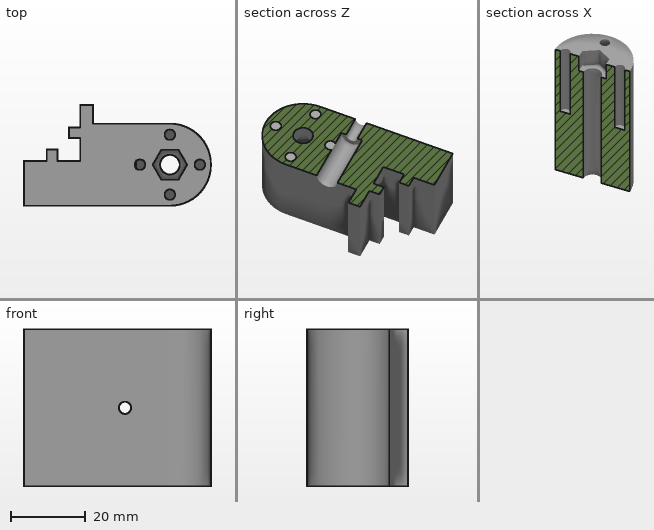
import cadquery as cq

length = 50.0
height = 42.0
body_width = 22.0
nose_radius = body_width / 2
nose_x = length - nose_radius
nose_y = nose_radius

step_x = 15.0
ledge_width = 12.0
ledge_rib_start = 6.1
ledge_rib_end = 9.0
ledge_rib_top = 15.1
side_rib_x = 12.0
side_rib_bottom = 18.1
side_rib_top = 21.0
tab_end_x = 18.5
tab_top = 27.0

bore_diameter = 5.2
hex_across_corners = 9.2
hex_depth = 5.0

ring_radius = 8.0
ring_hole_diameter = 2.8
ring_hole_depth = height / 2
ring_hole_count = 4

cross_hole_diameter = 3.2
counterbore_diameter = 6.0
counterbore_depth = 16.0
cross_hole_x = 27.0
cross_hole_z = height / 2


def make_body():
    """Extrude the stepped, round-nosed outline along Z."""
    return (
        cq.Workplane("XY")
        .moveTo(0, 0)
        .lineTo(nose_x, 0)
        .threePointArc((length, nose_y), (nose_x, body_width))
        .lineTo(tab_end_x, body_width)
        .lineTo(tab_end_x, tab_top)
        .lineTo(step_x, tab_top)
        .lineTo(step_x, side_rib_top)
        .lineTo(side_rib_x, side_rib_top)
        .lineTo(side_rib_x, side_rib_bottom)
        .lineTo(step_x, side_rib_bottom)
        .lineTo(step_x, ledge_width)
        .lineTo(ledge_rib_end, ledge_width)
        .lineTo(ledge_rib_end, ledge_rib_top)
        .lineTo(ledge_rib_start, ledge_rib_top)
        .lineTo(ledge_rib_start, ledge_width)
        .lineTo(0, ledge_width)
        .close()
        .extrude(height)
    )


def cut_nose_holes(body):
    """Cut the bore, nut pocket and hole ring, all centred on the nose axis."""
    top = cq.Workplane("XY", origin=(nose_x, nose_y, height))
    bore = top.circle(bore_diameter / 2).extrude(-height)
    nut_pocket = top.polygon(6, hex_across_corners).extrude(-hex_depth)
    ring_holes = (
        top.polarArray(ring_radius, 0, 360, ring_hole_count)
        .circle(ring_hole_diameter / 2)
        .extrude(-ring_hole_depth)
    )
    return body.cut(bore).cut(nut_pocket).cut(ring_holes)


def cut_cross_hole(body):
    """Cut the hole through the body width and its deep counterbore from the +Y face."""
    back_face = cq.Workplane("XZ", origin=(cross_hole_x, body_width, cross_hole_z))
    cross_hole = back_face.circle(cross_hole_diameter / 2).extrude(body_width)
    counterbore = back_face.circle(counterbore_diameter / 2).extrude(counterbore_depth)
    return body.cut(cross_hole).cut(counterbore)


result = cut_cross_hole(cut_nose_holes(make_body()))